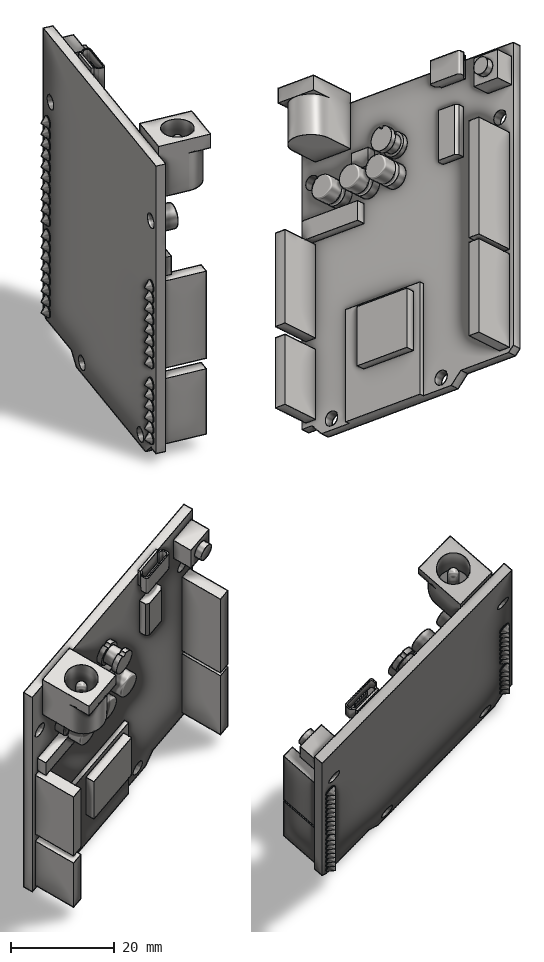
import cadquery as cq


BOARD_WIDTH = 54.0
BOARD_HEIGHT = 68.5
BOARD_THICKNESS = 2.05
CORNER_CHAMFER = 1.2
SHOULDER_Z = 2.5
TAB_LEFT = 15.85
TAB_RIGHT = 49.0
MOUNT_HOLE_DIAMETER = 3.1
MOUNT_HOLES = [(3.45, 53.5), (51.5, 54.5), (18.5, SHOULDER_Z), (46.45, SHOULDER_Z)]

HEADER_HEIGHT = 9.0
HEADER_BASE_Z = 3.5
EIGHT_PIN_HEADER_LENGTH = 20.0
PIN_PITCH = EIGHT_PIN_HEADER_LENGTH / 8
HEADER_GAP_LEFT = 1.0
HEADER_GAP_RIGHT = 2.4
LEFT_HEADER_X = 2.25
RIGHT_HEADER_X = 51.75
SOLDER_DIAMETER = 2.55
SOLDER_HEIGHT = 1.5
SOLDER_RIM = 0.2
LEFT_PIN_COUNTS = (8, 10)
RIGHT_PIN_COUNTS = (6, 8)

JACK_X = 46.05
JACK_WIDTH = 9.0
JACK_HEIGHT = 11.0
JACK_TOP_Z = 70.5
JACK_BOTTOM_Z = 58.65
JACK_FLANGE = 3.2
JACK_AXIS_HEIGHT = 6.0
JACK_BORE_DIAMETER = 6.5
JACK_BORE_DEPTH = 9.9
JACK_PIN_DIAMETER = 2.2
JACK_PIN_RECESS = 1.6

USB_X = 15.3
USB_TOP_Z = 69.5
USB_LENGTH = 5.0
USB_BORE_DEPTH = 3.9
USB_WIDTH = 7.6
USB_FOOT_WIDTH = 6.05
USB_HEIGHT = 2.7
USB_FOOT_HEIGHT = 0.55
USB_SIDE_BASE = 1.3
USB_WALL = 0.3
USB_FLOOR = 0.5
USB_CORNER_RADIUS = 0.5
USB_TONGUE_WIDTH = 3.4
USB_TONGUE_THICKNESS = 0.3
USB_TONGUE_HEIGHT = 1.7
USB_TONGUE_RECESS = 1.75

BUTTON_X = 3.45
BUTTON_Z = 62.6
BUTTON_SIZE = 6.05
BUTTON_HEIGHT = 4.15
PLUNGER_DIAMETER = 3.6
PLUNGER_HEIGHT = 1.5

CAPACITOR_X = [30.0, 36.7, 43.8]
CAPACITOR_Z = 49.15
CAPACITOR_RADIUS = 2.6
CAPACITOR_HEIGHT = 6.1
CAPACITOR_RIM_RADIUS = 0.4
WAIST_BOTTOM = 2.0
WAIST_TOP = 3.0
WAIST_DEPTH = 0.55

SPOOL_X = 29.7
SPOOL_Z = 55.55
SPOOL_FLANGE_DIAMETER = 5.2
SPOOL_CORE_DIAMETER = 3.95
SPOOL_HEIGHT = 4.65
SPOOL_FLANGE_THICKNESS = 1.1
SPOOL_NOTCH_DIAMETER = 1.0

MAIN_CHIP = (24.7, 37.4, 9.9, 22.55, 2.9)
LOW_CHIP = (23.0, 41.95, 0.0, 24.05, 1.0)
SMALL_CHIP = (35.4, 39.6, 52.5, 56.4, 2.0)
WIDE_CHIP = (38.1, 52.25, 41.6, 45.8, 2.0)
USB_CHIP = (12.7, 17.9, 47.95, JACK_BOTTOM_Z, 2.0)
USB_CHIP_CHAMFER = 0.55


def block(left, right, bottom, top, height):
    """Box standing on the component side of the board."""
    size = (right - left, height, top - bottom)
    return cq.Workplane("XY").box(*size, centered=False).translate((left, BOARD_THICKNESS, bottom))


def disc(x, z, diameter, base, height):
    """Cylinder along +Y, starting at a height above the component side."""
    plane = cq.Workplane("XZ", origin=(x, BOARD_THICKNESS + base, z))
    return plane.circle(diameter / 2).extrude(-height)


def make_board():
    outline = [
        (0, SHOULDER_Z + CORNER_CHAMFER),
        (CORNER_CHAMFER, SHOULDER_Z),
        (TAB_LEFT - SHOULDER_Z, SHOULDER_Z),
        (TAB_LEFT, 0),
        (TAB_RIGHT, 0),
        (TAB_RIGHT + SHOULDER_Z, SHOULDER_Z),
        (BOARD_WIDTH, SHOULDER_Z),
        (BOARD_WIDTH, BOARD_HEIGHT),
        (0, BOARD_HEIGHT),
    ]
    board = cq.Workplane("XZ").polyline(outline).close().extrude(-BOARD_THICKNESS)
    holes = cq.Workplane("XZ").pushPoints(MOUNT_HOLES).circle(MOUNT_HOLE_DIAMETER / 2)
    return board.cut(holes.extrude(-BOARD_THICKNESS))


def make_solder_joint(x, z):
    """Cone on a thin round rim, pointing away from the solder side."""
    radius = SOLDER_DIAMETER / 2
    half_profile = (
        cq.Workplane("XY", origin=(x, 0, z))
        .lineTo(radius, 0)
        .lineTo(radius, -SOLDER_RIM)
        .lineTo(0, -SOLDER_HEIGHT)
        .close()
    )
    return half_profile.revolve(360, (0, 0, 0), (0, 1, 0))


def make_header(x, base_z, pin_count):
    """Socket strip and one solder joint per pin on the other side of the board."""
    half_width = PIN_PITCH / 2
    strip = block(x - half_width, x + half_width, base_z, base_z + pin_count * PIN_PITCH, HEADER_HEIGHT)
    joints = [make_solder_joint(x, base_z + (pin + 0.5) * PIN_PITCH) for pin in range(pin_count)]
    return [strip] + joints


def make_header_column(x, pin_counts, gap):
    """Two headers in line, the lower one first."""
    lower_pins, upper_pins = pin_counts
    upper_base_z = HEADER_BASE_Z + lower_pins * PIN_PITCH + gap
    return make_header(x, HEADER_BASE_Z, lower_pins) + make_header(x, upper_base_z, upper_pins)


def make_jack():
    """Square flange at the open end, round-backed body below, centre pin in the bore."""
    half_width = JACK_WIDTH / 2
    left = JACK_X - half_width
    right = JACK_X + half_width
    flange_z = JACK_TOP_Z - JACK_FLANGE
    round_center = JACK_HEIGHT - half_width
    flange = block(left, right, flange_z, JACK_TOP_Z, JACK_HEIGHT)
    body = (
        cq.Workplane("XY", origin=(JACK_X, BOARD_THICKNESS, JACK_BOTTOM_Z))
        .moveTo(-half_width, 0)
        .lineTo(half_width, 0)
        .lineTo(half_width, round_center)
        .threePointArc((0, JACK_HEIGHT), (-half_width, round_center))
        .close()
        .extrude(flange_z - JACK_BOTTOM_Z)
    )
    axis_y = BOARD_THICKNESS + JACK_AXIS_HEIGHT
    bore_floor = cq.Workplane("XY", origin=(JACK_X, axis_y, JACK_TOP_Z - JACK_BORE_DEPTH))
    bore = bore_floor.circle(JACK_BORE_DIAMETER / 2).extrude(JACK_BORE_DEPTH)
    tip_radius = JACK_PIN_DIAMETER / 2
    shank_length = JACK_BORE_DEPTH - JACK_PIN_RECESS - tip_radius
    shank = bore_floor.circle(tip_radius).extrude(shank_length)
    tip_z = JACK_TOP_Z - JACK_PIN_RECESS - tip_radius
    tip = cq.Workplane("XY", origin=(JACK_X, axis_y, tip_z)).sphere(tip_radius)
    return flange.union(body).cut(bore).union(shank).union(tip)


def usb_prism(inset, floor, length):
    """Socket cross-section shrunk by the inset, resting at the floor height, below the open end."""
    half_width = USB_WIDTH / 2 - inset
    half_foot = USB_FOOT_WIDTH / 2 - inset
    top = USB_HEIGHT - inset
    foot = USB_FOOT_HEIGHT + inset
    side_points = [(half_foot, floor), (half_foot, foot), (half_width, USB_SIDE_BASE), (half_width, top)]
    mirrored_points = [(-x, y) for x, y in reversed(side_points)]
    prism = (
        cq.Workplane("XY", origin=(USB_X, BOARD_THICKNESS, USB_TOP_Z))
        .polyline(side_points + mirrored_points)
        .close()
        .extrude(-length)
    )
    side_corners = prism.edges("|Z").edges("<X or >X")
    return side_corners.fillet(USB_CORNER_RADIUS)


def make_usb_socket():
    shell = usb_prism(0, 0, USB_LENGTH).cut(usb_prism(USB_WALL, USB_FLOOR, USB_BORE_DEPTH))
    tongue = block(
        USB_X - USB_TONGUE_WIDTH / 2,
        USB_X + USB_TONGUE_WIDTH / 2,
        USB_TOP_Z - USB_LENGTH,
        USB_TOP_Z - USB_TONGUE_RECESS,
        USB_TONGUE_THICKNESS,
    ).translate((0, USB_TONGUE_HEIGHT, 0))
    return shell.union(tongue)


def make_button():
    half = BUTTON_SIZE / 2
    housing = block(BUTTON_X - half, BUTTON_X + half, BUTTON_Z - half, BUTTON_Z + half, BUTTON_HEIGHT)
    return housing.union(disc(BUTTON_X, BUTTON_Z, PLUNGER_DIAMETER, BUTTON_HEIGHT, PLUNGER_HEIGHT))


def make_capacitor(x):
    waist_middle = (WAIST_BOTTOM + WAIST_TOP) / 2
    half_profile = (
        cq.Workplane("XY", origin=(x, BOARD_THICKNESS, CAPACITOR_Z))
        .lineTo(CAPACITOR_RADIUS, 0)
        .lineTo(CAPACITOR_RADIUS, WAIST_BOTTOM)
        .threePointArc((CAPACITOR_RADIUS - WAIST_DEPTH, waist_middle), (CAPACITOR_RADIUS, WAIST_TOP))
        .lineTo(CAPACITOR_RADIUS, CAPACITOR_HEIGHT)
        .lineTo(0, CAPACITOR_HEIGHT)
        .close()
    )
    can = half_profile.revolve(360, (0, 0, 0), (0, 1, 0))
    return can.faces(">Y").edges().fillet(CAPACITOR_RIM_RADIUS)


def make_spool():
    """Core between two flanges, each flange notched at its upper edge."""
    spool = disc(SPOOL_X, SPOOL_Z, SPOOL_CORE_DIAMETER, 0, SPOOL_HEIGHT)
    notch_z = SPOOL_Z + SPOOL_FLANGE_DIAMETER / 2
    for base in (0, SPOOL_HEIGHT - SPOOL_FLANGE_THICKNESS):
        flange = disc(SPOOL_X, SPOOL_Z, SPOOL_FLANGE_DIAMETER, base, SPOOL_FLANGE_THICKNESS)
        notch = disc(SPOOL_X, notch_z, SPOOL_NOTCH_DIAMETER, base, SPOOL_FLANGE_THICKNESS)
        spool = spool.union(flange.cut(notch))
    return spool


def make_chips():
    chips = [block(*chip) for chip in (MAIN_CHIP, LOW_CHIP, SMALL_CHIP, WIDE_CHIP)]
    chips.append(block(*USB_CHIP).faces(">Y").edges("|Z").chamfer(USB_CHIP_CHAMFER))
    return chips


parts = [make_jack(), make_usb_socket(), make_button(), make_spool()]
parts += [make_capacitor(x) for x in CAPACITOR_X]
parts += make_chips()
parts += make_header_column(LEFT_HEADER_X, LEFT_PIN_COUNTS, HEADER_GAP_LEFT)
parts += make_header_column(RIGHT_HEADER_X, RIGHT_PIN_COUNTS, HEADER_GAP_RIGHT)

result = make_board()
for part in parts:
    result = result.union(part)